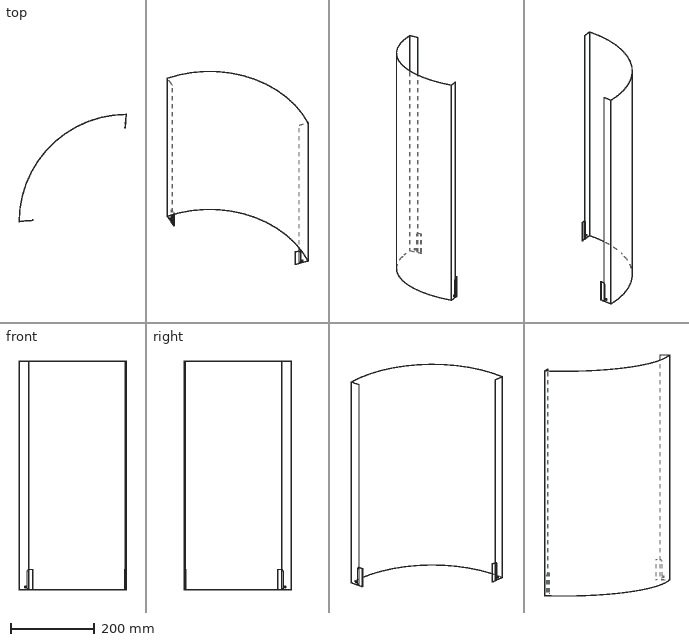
import cadquery as cq
import math

height = 550.0
side = 258.5
sheet = 0.8

flange_length = 23.5
flange_tilt = 6.5
hole_diameter = 4.0
hole_place = 15.5
hole_height = 7.0

clip_height = 49.5
tab_inset = 4.0
tab_start = 19.0
blade_start = 21.5
clip_end = 33.5
lip_depth = 2.0


def make_shell():
    """Quarter ring with its axis on the corner (side, 0)."""
    ring = cq.Workplane("XY").center(side, 0).circle(side).circle(side - sheet).extrude(height)
    quadrant = cq.Workplane("XY").rect(side, side, centered=False).extrude(height)
    return ring.intersect(quadrant)


def flange_plate(start, end, outer_side, bottom, top):
    """Upright plate along the flange; outer_side is the offset of its outer face from the flange's."""
    return cq.Workplane("XY").box(end - start, sheet, top - bottom, centered=False).translate(
        (start, outer_side, bottom)
    )


def make_flange_with_clip():
    """Flange and clip built along X, then tilted about the shell's straight edge."""
    flange = flange_plate(0, flange_length, 0, 0, height)
    hole = (
        cq.Workplane("XZ")
        .center(hole_place, hole_height)
        .circle(hole_diameter / 2)
        .extrude(sheet, both=True)
    )
    flange = flange.cut(hole)

    tab = flange_plate(tab_start, blade_start, -sheet, tab_inset, clip_height - tab_inset)
    blade = flange_plate(blade_start, clip_end, -sheet, 0, clip_height)

    lip = cq.Workplane("XY").box(sheet, lip_depth, clip_height, centered=False)
    lip = lip.translate((clip_end - sheet, -sheet, 0))
    return flange.union(tab).union(blade).union(lip).rotate((0, 0, 0), (0, 0, 1), flange_tilt)


def mirror_to_other_edge(body):
    """Mirror about the upright plane through the middle of the quarter ring."""
    half = side / 2
    normal = (math.sqrt(0.5), math.sqrt(0.5), 0)
    return body.mirror(cq.Vector(*normal), (half, half, 0))


first_flange = make_flange_with_clip()
result = make_shell().union(first_flange).union(mirror_to_other_edge(first_flange))